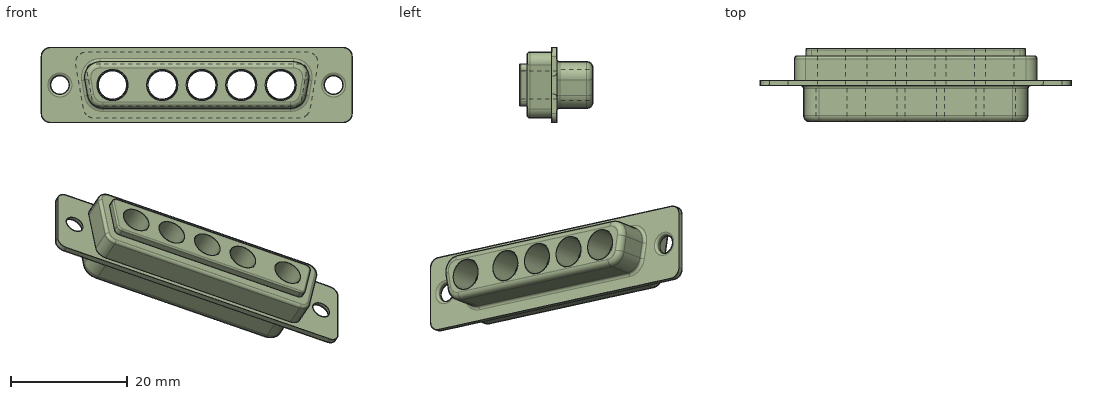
import cadquery as cq
import math

flange_width = 53.4
flange_height = 12.95
flange_thickness = 0.9
flange_corner_radius = 1.6
screw_hole_spacing = 47.0
screw_hole_diameter = 3.15
screw_hole_rounding = 0.5

end_lean = math.radians(10)

plug_width = 38.15
plug_height = 8.0
plug_length = 6.2
plug_corner_radius = 2.65
plug_nose_fillet = 1.05
plug_root_fillet = 0.55

shell_width = 40.4
shell_height = 11.3
shell_length = 4.2
shell_corner_radius = 1.85
shell_edge_fillet = 0.55

insert_width = 36.85
insert_height = 7.25
insert_length = 1.3
insert_corner_radius = 0.95
insert_edge_fillet = 0.25

contact_pitch = 6.8
contact_first_x = 14.4
contact_wide_gap = 8.55
regular_contacts = 4
contact_bore_diameter = 5.35
contact_hole_diameter = 4.85


def d_prism(mid_width, height, corner_radius, y_start, length):
    """Rounded D-shaped prism along +Y; mid_width is the width at z = 0."""
    top = height / 2
    lean = top * math.tan(end_lean)
    wide = mid_width / 2 + lean
    narrow = mid_width / 2 - lean
    corners = [(-wide, top), (wide, top), (narrow, -top), (-narrow, -top)]
    plane = cq.Workplane("XZ", origin=(0, y_start, 0))
    return plane.polyline(corners).close().extrude(-length).edges("|Y").fillet(corner_radius)


def hole_cutter(x_positions, diameter, y_start, y_end):
    """Cylinders along Y between two depths, centred at z = 0."""
    plane = cq.Workplane("XZ", origin=(0, y_start, 0))
    points = [(x, 0) for x in x_positions]
    return plane.pushPoints(points).circle(diameter / 2).extrude(y_start - y_end)


shell_start = flange_thickness
insert_start = shell_start + shell_length
rear_end = insert_start + insert_length

flange = (
    cq.Workplane("XZ")
    .rect(flange_width, flange_height)
    .extrude(-flange_thickness)
    .edges("|Y")
    .fillet(flange_corner_radius)
)
plug = d_prism(plug_width, plug_height, plug_corner_radius, -plug_length, plug_length)
plug = plug.faces("<Y").edges().fillet(plug_nose_fillet)
front = flange.union(plug)
root_region = cq.selectors.BoxSelector(
    (-plug_width / 2 - plug_root_fillet, -plug_root_fillet / 2, -plug_height / 2 - plug_root_fillet),
    (plug_width / 2 + plug_root_fillet, plug_root_fillet / 2, plug_height / 2 + plug_root_fillet),
)
front = front.edges(root_region).fillet(plug_root_fillet)

screw_xs = [-screw_hole_spacing / 2, screw_hole_spacing / 2]
front = front.cut(hole_cutter(screw_xs, screw_hole_diameter, 0, flange_thickness))
for screw_x in screw_xs:
    mouth = cq.selectors.NearestToPointSelector((screw_x, 0, 0))
    front = front.edges(mouth).fillet(screw_hole_rounding)

shell = d_prism(shell_width, shell_height, shell_corner_radius, shell_start, shell_length)
shell = shell.faces(">Y").edges().fillet(shell_edge_fillet)
insert = d_prism(insert_width, insert_height, insert_corner_radius, insert_start, insert_length)
insert = insert.faces(">Y").edges().fillet(insert_edge_fillet)

contact_xs = [contact_first_x - index * contact_pitch for index in range(regular_contacts)]
contact_xs.append(contact_xs[-1] - contact_wide_gap)
bores = hole_cutter(contact_xs, contact_bore_diameter, -plug_length, 0)
holes = hole_cutter(contact_xs, contact_hole_diameter, -plug_length, rear_end)

result = front.union(shell).union(insert).cut(bores).cut(holes)